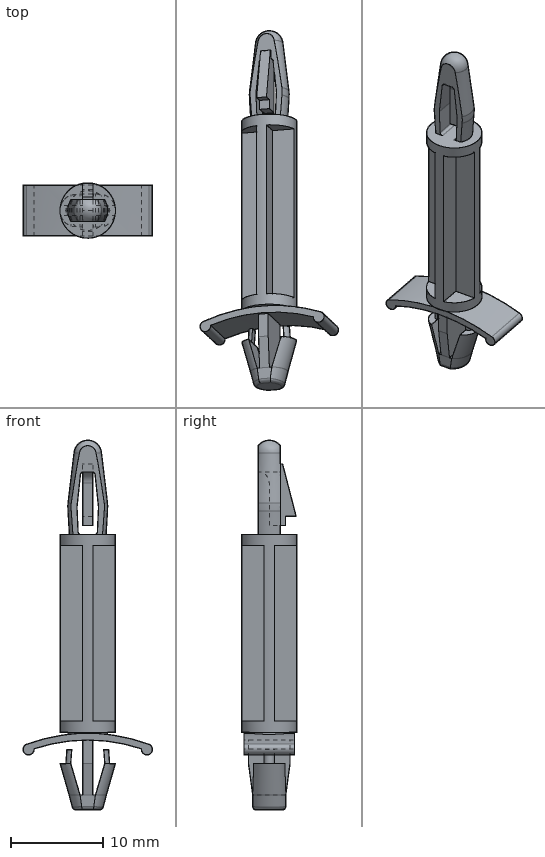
import cadquery as cq
import math

overall_height = 40.0
overlap = 0.2

column_diameter = 6.0
column_length = 21.4
flange_thickness = 1.2
web_thickness = 1.1

head_height = 10.2
head_depth = 2.4
dome_base_radius = 1.5
dome_height = 1.4
head_waist_radius = 2.15
head_crown_radius = 2.17
head_foot_radius = 2.0
waist_bottom = column_length + 2.54
waist_top = column_length + 3.38
waist_middle = (waist_bottom + waist_top) / 2
head_top = column_length + head_height

slot_height = 6.77
slot_foot_half_width = 1.02
slot_waist_half_width = 1.15
slot_roof_half_width = 0.75
slot_roof_fillet = 0.35
slot_foot_fillet = 0.3
slot_top = column_length + slot_height

latch_inner_y = 0.0
latch_top_y = 1.45
latch_tip_y = 2.92
latch_stem_y = 1.78
latch_bottom = column_length + 0.95
latch_step = column_length + 1.95
latch_top = column_length + 7.63
latch_root_radius = head_depth / 2

bow_length = 14.0
bow_width = 5.5
bow_thickness = 0.75
bow_radius = 19.0
bow_apex = -0.1
bead_radius = 0.6
neck_radius = 2.15

anchor_bottom = head_top - overall_height
arm_top = -3.38
plug_top = -6.77
tab_top = -1.87
web_half_depth = 2.26
plug_half_depth = 1.8
arm_top_half_depth = 1.68
arm_top_inner, arm_top_outer = 1.83, 3.0
plug_top_inner, plug_top_outer = 0.83, 2.03
plug_bottom_inner, plug_bottom_outer = 0.6, 1.6
plug_fillet = 0.4
tab_half_width = web_thickness / 2
tab_top_inner = 1.72


def disc(bottom, thickness):
    """Full-diameter slice of the column."""
    return (
        cq.Workplane("XY", origin=(0, 0, bottom))
        .circle(column_diameter / 2)
        .extrude(thickness)
    )


def make_column():
    """Cross-shaped shaft between two flanges of the same diameter."""
    web = cq.Workplane("XY").rect(column_diameter, web_thickness).extrude(column_length)
    cross = web.union(web.rotate((0, 0, 0), (0, 0, 1), 90))
    shaft = disc(0, column_length).intersect(cross)
    lower_flange = disc(0, flange_thickness)
    upper_flange = disc(column_length - flange_thickness, flange_thickness)
    return shaft.union(lower_flange).union(upper_flange)


def make_head():
    """Domed, turned head with two flats, split by a tapered slot."""
    dome_base = head_top - dome_height
    dome_radius = (dome_base_radius**2 + dome_height**2) / (2 * dome_height)
    half_angle = math.asin(dome_base_radius / dome_radius) / 2
    dome_mid = (
        dome_radius * math.sin(half_angle),
        head_top - dome_radius * (1 - math.cos(half_angle)),
    )
    foot = column_length - overlap
    head = (
        cq.Workplane("XZ")
        .moveTo(0, foot)
        .lineTo(head_foot_radius, foot)
        .lineTo(head_foot_radius, column_length)
        .lineTo(head_waist_radius, waist_bottom)
        .threePointArc((head_crown_radius, waist_middle), (head_waist_radius, waist_top))
        .lineTo(dome_base_radius, dome_base)
        .threePointArc(dome_mid, (0, head_top))
        .close()
        .revolve(360, (0, 0, 0), (0, 1, 0))
    )
    flats = cq.Workplane("XY").box(column_diameter, head_depth, 2 * head_top)
    slot = (
        cq.Workplane("XZ")
        .moveTo(-slot_foot_half_width, column_length)
        .lineTo(slot_foot_half_width, column_length)
        .lineTo(slot_waist_half_width, waist_middle)
        .lineTo(slot_roof_half_width, slot_top)
        .lineTo(-slot_roof_half_width, slot_top)
        .lineTo(-slot_waist_half_width, waist_middle)
        .close()
        .extrude(column_diameter / 2, both=True)
        .edges("|Y and >Z")
        .fillet(slot_roof_fillet)
        .edges("|Y and <Z")
        .fillet(slot_foot_fillet)
    )
    return head.intersect(flats).cut(slot)


def make_latch():
    """Wedge-shaped latch with a stepped lower end and a concave root."""
    root_mid_offset = latch_root_radius * (1 - math.sqrt(0.5))
    root_y = latch_inner_y - latch_root_radius
    return (
        cq.Workplane("YZ")
        .moveTo(latch_inner_y, latch_bottom)
        .lineTo(latch_stem_y, latch_bottom)
        .lineTo(latch_stem_y, latch_step)
        .lineTo(latch_tip_y, latch_step)
        .lineTo(latch_top_y, latch_top)
        .lineTo(root_y, latch_top)
        .lineTo(root_y, slot_top)
        .threePointArc(
            (latch_inner_y - root_mid_offset, slot_top - root_mid_offset),
            (latch_inner_y, slot_top - latch_root_radius),
        )
        .close()
        .extrude(web_thickness / 2, both=True)
    )


def make_bow():
    """Arched plate ending in a round bead at each tip."""
    inner_radius = bow_radius - bow_thickness
    bead_x = bow_length / 2 - bead_radius
    bead_orbit = bow_radius - bead_radius
    bead_angle = math.asin(bead_x / bead_orbit)
    bow_center_z = bow_apex - bow_radius

    def on_arc(radius, angle):
        return (radius * math.sin(angle), bow_center_z + radius * math.cos(angle))

    plate = (
        cq.Workplane("XZ")
        .moveTo(*on_arc(bow_radius, -bead_angle))
        .threePointArc(on_arc(bow_radius, 0), on_arc(bow_radius, bead_angle))
        .lineTo(*on_arc(inner_radius, bead_angle))
        .threePointArc(on_arc(inner_radius, 0), on_arc(inner_radius, -bead_angle))
        .close()
        .extrude(bow_width / 2, both=True)
    )
    beads = (
        cq.Workplane("XZ")
        .pushPoints([on_arc(bead_orbit, -bead_angle), on_arc(bead_orbit, bead_angle)])
        .circle(bead_radius)
        .extrude(bow_width / 2, both=True)
    )
    return plate.union(beads)


def make_neck():
    """Short round neck between the column and the upper surface of the bow."""
    bottom = bow_apex - bow_thickness / 2
    return (
        cq.Workplane("XY", origin=(0, 0, bottom))
        .circle(neck_radius)
        .extrude(overlap - bottom)
    )


def d_section(z, inner, outer, half_depth):
    """Closed D: flat side at x = inner, round side reaching x = outer."""
    return (
        cq.Workplane("XY", origin=(0, 0, z))
        .moveTo(inner, -half_depth)
        .threePointArc((outer, 0), (inner, half_depth))
        .close()
        .val()
    )


def plug_section(z, inner, outer):
    """Closed oval with flat front and back and two round ends."""
    return (
        cq.Workplane("XY", origin=(0, 0, z))
        .moveTo(-inner, -plug_half_depth)
        .lineTo(inner, -plug_half_depth)
        .threePointArc((outer, 0), (inner, plug_half_depth))
        .lineTo(-inner, plug_half_depth)
        .threePointArc((-outer, 0), (-inner, -plug_half_depth))
        .close()
        .val()
    )


def loft(*sections):
    return cq.Workplane(cq.Solid.makeLoft(list(sections), True))


def make_anchor():
    """Central web and tapered plug carrying two sprung arms with tabs."""
    web_top = bow_apex - bow_thickness / 2
    web = (
        cq.Workplane("YZ")
        .moveTo(-web_half_depth, web_top)
        .lineTo(web_half_depth, web_top)
        .lineTo(web_half_depth, arm_top)
        .lineTo(plug_half_depth, plug_top)
        .lineTo(-plug_half_depth, plug_top)
        .lineTo(-web_half_depth, arm_top)
        .close()
        .extrude(web_thickness / 2, both=True)
    )
    plug = loft(
        plug_section(anchor_bottom, plug_bottom_inner, plug_bottom_outer),
        plug_section(plug_top, plug_top_inner, plug_top_outer),
    )
    plug = plug.faces("<Z").edges().fillet(plug_fillet)
    arm = loft(
        d_section(plug_top, plug_top_inner, plug_top_outer, plug_half_depth),
        d_section(arm_top, arm_top_inner, arm_top_outer, arm_top_half_depth),
    )
    tab = loft(
        d_section(arm_top, arm_top_inner, arm_top_inner + tab_half_width, tab_half_width),
        d_section(tab_top, tab_top_inner, tab_top_inner + tab_half_width, tab_half_width),
    )
    anchor = web.union(plug)
    sprung_arm = arm.union(tab)
    return anchor.union(sprung_arm).union(sprung_arm.mirror("YZ"))


result = (
    make_column()
    .union(make_head())
    .union(make_latch())
    .union(make_bow())
    .union(make_neck())
    .union(make_anchor())
)